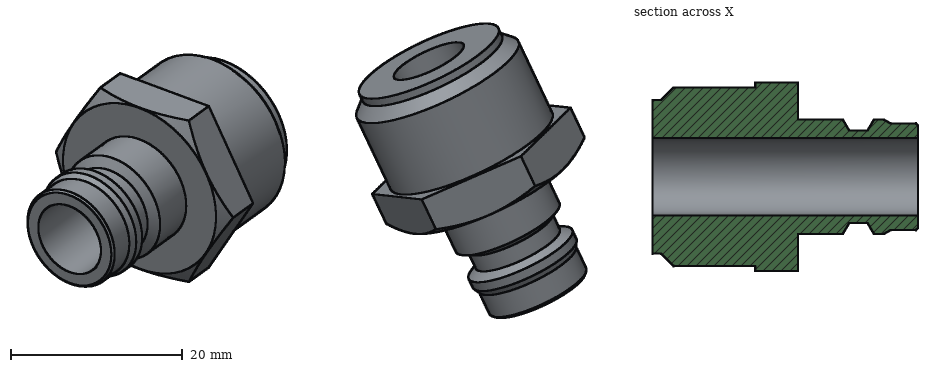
import cadquery as cq
import math

total_length = 31.0
tip_chamfer = 0.28
nose_end = 3.22
collar_start = 4.0
collar_end = 5.18
groove_start = 5.92
groove_end = 8.03
shank_start = 8.77
hex_start = 14.0
hex_thickness = 5.0
body_chamfer = 1.45
rear_lip_length = 1.0
hex_end = hex_start + hex_thickness
rear_lip_start = total_length - rear_lip_length

bore_radius = 4.5
nose_radius = 6.25
shank_radius = 6.7
groove_radius = 5.42
body_radius = 10.45
rear_lip_radius = body_radius - body_chamfer
across_flats = 22.0
across_corners = across_flats / math.cos(math.radians(30))
hex_chamfer_angle = 30.0
hex_face_inset = 0.03
hex_chamfer_start_radius = across_flats / 2 - hex_face_inset
cone_margin = 0.3


def revolve_profile(points):
    """Revolve a closed (radius, y) profile around the Y axis."""
    return cq.Workplane("XY").polyline(points).close().revolve(360, (0, 0, 0), (0, 1, 0))


def make_turned_body():
    return revolve_profile([
        (0, 0),
        (nose_radius - tip_chamfer, 0),
        (nose_radius, tip_chamfer),
        (nose_radius, nose_end),
        (shank_radius, collar_start),
        (shank_radius, collar_end),
        (groove_radius, groove_start),
        (groove_radius, groove_end),
        (shank_radius, shank_start),
        (shank_radius, hex_end),
        (body_radius, hex_end),
        (body_radius, rear_lip_start - body_chamfer),
        (rear_lip_radius, rear_lip_start),
        (rear_lip_radius, total_length),
        (0, total_length),
    ])


def make_hexagon():
    """Hexagon with corners on X, its front corners trimmed by a cone."""
    prism = (
        cq.Workplane("XZ", origin=(0, hex_end, 0))
        .polygon(6, across_corners)
        .extrude(hex_thickness)
    )
    cone_outer_radius = across_corners / 2 + cone_margin
    cone_depth = (cone_outer_radius - hex_chamfer_start_radius) * math.tan(
        math.radians(hex_chamfer_angle)
    )
    envelope = revolve_profile([
        (0, hex_start),
        (hex_chamfer_start_radius, hex_start),
        (cone_outer_radius, hex_start + cone_depth),
        (cone_outer_radius, hex_end),
        (0, hex_end),
    ])
    return prism.intersect(envelope)


bore = cq.Workplane("XZ").circle(bore_radius).extrude(-total_length)
result = make_turned_body().union(make_hexagon()).cut(bore)